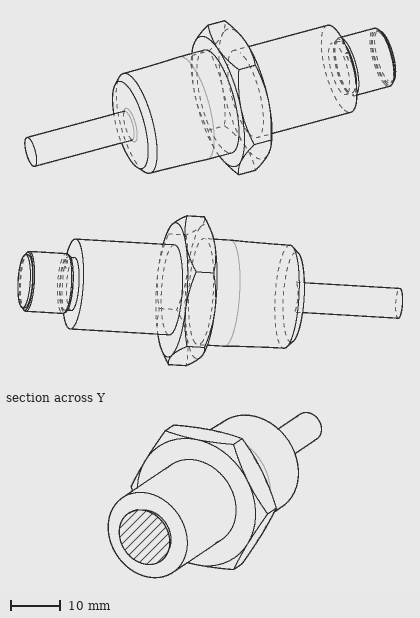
import cadquery as cq
import math

BODY_FRONT = 21.75
TAPER_FRONT = 23.15
TAPER_REAR = 35.45
HEX_FRONT = 40.9
HEX_THICKNESS = 6.0
HEX_REAR = HEX_FRONT + HEX_THICKNESS
SLEEVE_REAR = 67.3
CONNECTOR_FRONT = 68.65
COLLAR_REAR = 76.9
TOTAL_LENGTH = 77.4

PROBE_RADIUS = 3.0
PROBE_FILLET = 0.5
BODY_RADIUS = 10.7
TAPER_FRONT_RADIUS = 10.4
NOSE_RADIUS = 9.05
HEX_ACROSS_FLATS = 27.0
HEX_CHAMFER_ANGLE = 30
SLEEVE_RADIUS = 9.05
NECK_RADIUS = 5.35
CONNECTOR_RADIUS = 6.0
CONNECTOR_FRONT_CHAMFER = 0.4
CONNECTOR_FRONT_CHAMFER_DEPTH = 0.2
CONNECTOR_REAR_CHAMFER = 0.2

KEY_WIDTH = 1.85
KEY_LENGTH = 0.7
KEY_HEIGHT = 0.3
KEY_ANGLE = 30


def revolve_about_y(profile):
    """Close a half profile and turn it fully about the Y axis."""
    return profile.close().revolve(360, (0, 0, 0), (0, 1, 0))


def make_turned_body():
    fillet_center_x = PROBE_RADIUS + PROBE_FILLET
    fillet_center_y = BODY_FRONT - PROBE_FILLET
    fillet_reach = PROBE_FILLET * math.sqrt(0.5)
    fillet_middle = (fillet_center_x - fillet_reach, fillet_center_y + fillet_reach)
    profile = (
        cq.Workplane("XY")
        .lineTo(PROBE_RADIUS, 0)
        .lineTo(PROBE_RADIUS, fillet_center_y)
        .threePointArc(fillet_middle, (fillet_center_x, BODY_FRONT))
        .lineTo(NOSE_RADIUS, BODY_FRONT)
        .lineTo(TAPER_FRONT_RADIUS, TAPER_FRONT)
        .lineTo(BODY_RADIUS, TAPER_REAR)
        .lineTo(BODY_RADIUS, HEX_REAR)
        .lineTo(SLEEVE_RADIUS, HEX_REAR)
        .lineTo(SLEEVE_RADIUS, SLEEVE_REAR)
        .lineTo(NECK_RADIUS, SLEEVE_REAR)
        .lineTo(NECK_RADIUS, CONNECTOR_FRONT)
        .lineTo(CONNECTOR_RADIUS - CONNECTOR_FRONT_CHAMFER_DEPTH, CONNECTOR_FRONT)
        .lineTo(CONNECTOR_RADIUS, CONNECTOR_FRONT + CONNECTOR_FRONT_CHAMFER)
        .lineTo(CONNECTOR_RADIUS, COLLAR_REAR - CONNECTOR_REAR_CHAMFER)
        .lineTo(CONNECTOR_RADIUS - CONNECTOR_REAR_CHAMFER, COLLAR_REAR)
        .lineTo(NECK_RADIUS, COLLAR_REAR)
        .lineTo(NECK_RADIUS, TOTAL_LENGTH)
        .lineTo(0, TOTAL_LENGTH)
    )
    return revolve_about_y(profile)


def make_hexagon():
    """Hexagon with corners on X and conical chamfers on both faces."""
    corner_radius = HEX_ACROSS_FLATS / math.sqrt(3)
    face_radius = HEX_ACROSS_FLATS / 2
    chamfer_height = (corner_radius - face_radius) * math.tan(math.radians(HEX_CHAMFER_ANGLE))
    prism = (
        cq.Workplane("XZ", origin=(0, HEX_FRONT, 0))
        .polygon(6, 2 * corner_radius)
        .extrude(-HEX_THICKNESS)
    )
    envelope = (
        cq.Workplane("XY")
        .moveTo(0, HEX_FRONT)
        .lineTo(face_radius, HEX_FRONT)
        .lineTo(corner_radius, HEX_FRONT + chamfer_height)
        .lineTo(corner_radius, HEX_REAR - chamfer_height)
        .lineTo(face_radius, HEX_REAR)
        .lineTo(0, HEX_REAR)
    )
    return prism.intersect(revolve_about_y(envelope))


def make_key():
    """Rectangular key rooted inside the neck and turned to its angle."""
    return (
        cq.Workplane("XY", origin=(0, CONNECTOR_FRONT - KEY_LENGTH / 2, 0))
        .rect(KEY_WIDTH, KEY_LENGTH)
        .extrude(NECK_RADIUS + KEY_HEIGHT)
        .rotate((0, 0, 0), (0, 1, 0), KEY_ANGLE)
    )


result = make_turned_body().union(make_hexagon()).union(make_key())